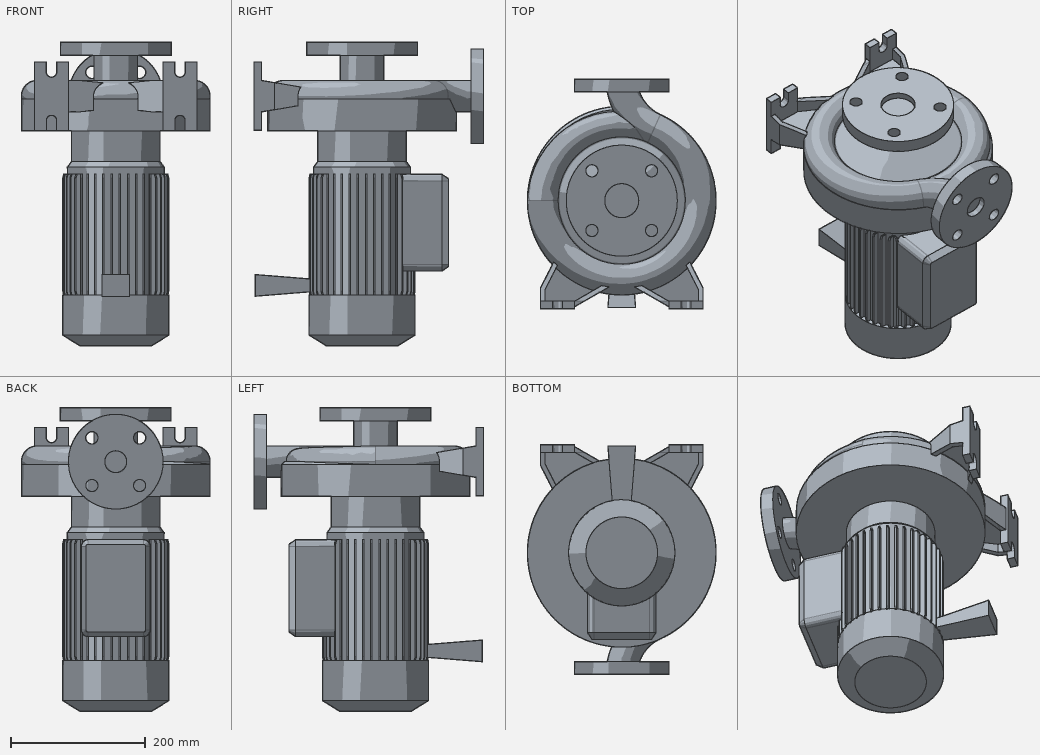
import cadquery as cq
import math


total_height = 450
volute_level = 370.0
casing_bottom = 318.5
casing_bevel = 4.5
neck_bottom = 273.0
collar_top = 264.5
fins_top = 254.2
cowl_top = 75.0
cowl_taper_height = 15.8

casing_radius = 140.0
neck_radius = 65.5
collar_radius = 72
cowl_radius = 78.8
cowl_end_radius = 53.0

tube_radius = 23.5
volute_radius = casing_radius - tube_radius
volute_inner_radius = volute_radius - tube_radius
volute_end_tube_radius = 18.5
volute_sections = 7

suction_pipe_radius = 32.5
suction_flange_radius = 82.5
suction_flange_thickness = 20.0
suction_bore_radius = 25.0
suction_bolt_circle_radius = 62.5
cover_rim_level = 377.0
cover_peak_level = 387
discharge_reach = 180
discharge_flange_radius = 70.0
discharge_flange_thickness = 19.0
discharge_bore_radius = 16.0
discharge_bolt_circle_radius = 50.0
bolt_hole_diameter = 18
bolt_count = 4
first_bolt_angle = 45
bore_depth = 10.0

fin_pitch_angle = 9
fins_per_half_quarter = 5
fin_thickness = 2.2
fin_bevel_height = 6.0
fin_bevel_depth = 1.5

box_half_width = 51.0
box_bottom = 110.5
box_top = fins_top
box_inner_y = 58.5
box_outer_y = 128.2
box_corner_radius = 10.0
box_bevel_depth = 10.0
box_bevel_inset = 6.8

prop_level = 89.5
prop_tip_y = -158.5
prop_tip_width = 41.5
prop_tip_height = 32.5
prop_root_y = -63
prop_taper = 0.16

foot_face_y = -160.0
foot_plate_thickness = 11.2
foot_plate_inner_x = 69.8
foot_plate_outer_x = 120.5
foot_plate_height = 101.5
slot_width = 15.5
slot_depth = 22.5
web_thickness = 7.0
web_bend_y = -129.5
inner_web_angle = 30
inner_web_length = 60.8
outer_web_angle = 63
outer_web_length = 63
web_end_height = 47.0
web_taper = 0.34
foot_floor_thickness = 6.8


def revolve_profile(points):
    """Solid turned about Z from (radius, level) points."""
    return cq.Workplane("XZ").polyline(points).close().revolve(360, (0, 0, 0), (0, 1, 0))


def make_turned_body():
    """Motor cowl, motor core, collar, neck, casing and the shallow cone of the casing cover."""
    profile = [
        (0, 0),
        (cowl_end_radius, 0),
        (cowl_radius, cowl_taper_height),
        (cowl_radius, cowl_top),
        (collar_radius, cowl_top),
        (collar_radius, collar_top),
        (neck_radius, neck_bottom),
        (neck_radius, casing_bottom),
        (casing_radius, casing_bottom),
        (casing_radius, volute_level - casing_bevel),
        (casing_radius - casing_bevel, volute_level),
        (volute_radius, volute_level),
        (volute_radius, cover_rim_level),
        (volute_inner_radius, cover_rim_level),
        (suction_pipe_radius, cover_peak_level),
        (0, cover_peak_level),
    ]
    return revolve_profile(profile)


def make_fins():
    """Ten parallel fins on each quarter, spaced evenly round the motor, with bevelled end corners."""
    end_radius = cowl_radius - fin_bevel_depth
    envelope_profile = [
        (0, cowl_top),
        (end_radius, cowl_top),
        (cowl_radius, cowl_top + fin_bevel_height),
        (cowl_radius, fins_top - fin_bevel_height),
        (end_radius, fins_top),
        (0, fins_top),
    ]
    fins = cq.Workplane("XY")
    for step in range(fins_per_half_quarter):
        offset = cowl_radius * math.sin(math.radians((step + 0.5) * fin_pitch_angle))
        pair = (
            cq.Workplane("XY")
            .workplane(offset=cowl_top)
            .pushPoints([(-offset, 0), (offset, 0)])
            .rect(fin_thickness, 2 * cowl_radius)
            .extrude(fins_top - cowl_top)
        )
        fins = fins.add(pair).add(pair.rotate((0, 0, 0), (0, 0, 1), 90))
    return fins.combine().intersect(revolve_profile(envelope_profile))


def make_port(plane, pipe, radius, thickness, bolt_circle_radius, bore_radius):
    """Pipe joined to a flange behind the face plane, with through bolt holes and a shallow bore."""
    face = cq.Workplane(plane)
    holes = (
        face.polarArray(bolt_circle_radius, first_bolt_angle, 360, bolt_count)
        .circle(bolt_hole_diameter / 2)
        .extrude(-thickness)
    )
    flange = face.circle(radius).extrude(-thickness).cut(holes)
    bore = face.circle(bore_radius).extrude(-bore_depth)
    return flange.union(pipe).cut(bore)


def make_volute(elbow_angle):
    """Full-size tube from the elbow clockwise to -X, then a tube that shrinks towards the elbow."""
    start = cq.Plane(
        origin=(-volute_radius, 0, volute_level), xDir=(1, 0, 0), normal=(0, -1, 0)
    )
    full_tube = (
        cq.Workplane(start)
        .circle(tube_radius)
        .revolve(180 + elbow_angle, (volute_radius, 0, 0), (volute_radius, 1, 0))
    )
    sections = []
    for step in range(volute_sections):
        fraction = step / (volute_sections - 1)
        angle = math.radians(180 + fraction * (elbow_angle - 180))
        radius = tube_radius + fraction * (volute_end_tube_radius - tube_radius)
        centre_radius = volute_inner_radius + radius
        centre = cq.Vector(
            centre_radius * math.cos(angle), centre_radius * math.sin(angle), volute_level
        )
        tangent = cq.Vector(math.sin(angle), -math.cos(angle), 0)
        sections.append(cq.Wire.makeCircle(radius, centre, tangent))
    shrinking_tube = cq.Solid.makeLoft(sections)
    return full_tube.union(cq.Workplane(shrinking_tube))


def make_discharge_elbow(bend_radius, elbow_angle):
    """Elbow tangent to the volute circle that turns to leave along +Y."""
    face = cq.Plane(
        origin=(0, discharge_reach, volute_level), xDir=(1, 0, 0), normal=(0, -1, 0)
    )
    return (
        cq.Workplane(face)
        .circle(tube_radius)
        .revolve(elbow_angle, (bend_radius, 0, 0), (bend_radius, 1, 0))
    )


def make_terminal_box():
    return (
        cq.Workplane("XY")
        .box(2 * box_half_width, box_outer_y - box_inner_y, box_top - box_bottom)
        .translate((0, (box_outer_y + box_inner_y) / 2, (box_top + box_bottom) / 2))
        .edges("|Y")
        .fillet(box_corner_radius)
        .faces(">Y")
        .chamfer(box_bevel_inset, box_bevel_depth)
    )


def make_prop():
    """Tapered prop that widens from the motor to a flat tip."""
    length = prop_root_y - prop_tip_y
    tip = cq.Plane(origin=(0, prop_tip_y, prop_level), xDir=(1, 0, 0), normal=(0, 1, 0))
    shrink = prop_taper * length
    return (
        cq.Workplane(tip)
        .rect(prop_tip_width, prop_tip_height)
        .workplane(offset=length)
        .rect(prop_tip_width - shrink, prop_tip_height - shrink)
        .loft(ruled=True)
    )


def polar_step(point, length, angle):
    return (
        point[0] + length * math.cos(math.radians(angle)),
        point[1] + length * math.sin(math.radians(angle)),
    )


def make_foot():
    """Foot on the +X side: slotted plate, two tapered webs and a floor between them."""
    plate_back_y = foot_face_y + foot_plate_thickness
    plate_width = foot_plate_outer_x - foot_plate_inner_x
    plate_x = (foot_plate_outer_x + foot_plate_inner_x) / 2
    face = cq.Plane(
        origin=(plate_x, foot_face_y, volute_level), xDir=(1, 0, 0), normal=(0, -1, 0)
    )
    plate = cq.Workplane(face).rect(plate_width, foot_plate_height).extrude(-foot_plate_thickness)
    slots = (
        cq.Workplane(face)
        .pushPoints([(0, -foot_plate_height / 2), (0, foot_plate_height / 2)])
        .slot2D(2 * slot_depth, slot_width, 90)
        .extrude(-foot_plate_thickness)
    )

    inner_start = (foot_plate_inner_x, plate_back_y)
    inner_end = polar_step(inner_start, inner_web_length, 180 - inner_web_angle)
    inner_web = [
        inner_start,
        inner_end,
        polar_step(inner_end, web_thickness, 270 - inner_web_angle),
        (foot_plate_inner_x, plate_back_y - web_thickness / math.cos(math.radians(inner_web_angle))),
    ]
    outer_bend = (foot_plate_outer_x, web_bend_y)
    outer_end = polar_step(outer_bend, outer_web_length, 180 - outer_web_angle)
    outer_end_inside = polar_step(outer_end, web_thickness, 270 - outer_web_angle)
    bend_shift = web_thickness * math.tan(math.radians((90 - outer_web_angle) / 2))
    outer_bend_inside = (foot_plate_outer_x - web_thickness, web_bend_y - bend_shift)
    outer_web = [
        (foot_plate_outer_x, plate_back_y),
        outer_bend,
        outer_end,
        outer_end_inside,
        outer_bend_inside,
        (foot_plate_outer_x - web_thickness, plate_back_y),
    ]
    webs = cq.Workplane("XY").workplane(offset=volute_level - web_end_height / 2)
    webs = webs.polyline(inner_web).close().polyline(outer_web).close().extrude(web_end_height)

    low_height = web_end_height + web_taper * plate_back_y
    taper = (
        cq.Workplane("YZ")
        .polyline([
            (foot_face_y, volute_level - web_end_height / 2),
            (plate_back_y, volute_level - web_end_height / 2),
            (0, volute_level - low_height / 2),
            (0, volute_level + low_height / 2),
            (plate_back_y, volute_level + web_end_height / 2),
            (foot_face_y, volute_level + web_end_height / 2),
        ])
        .close()
        .extrude(foot_plate_outer_x)
    )
    floor_outline = [inner_start, inner_end, outer_end, outer_bend, (foot_plate_outer_x, plate_back_y)]
    floor = (
        cq.Workplane("XY")
        .workplane(offset=volute_level - foot_floor_thickness / 2)
        .polyline(floor_outline)
        .close()
        .extrude(foot_floor_thickness)
    )
    return plate.cut(slots).union(webs.intersect(taper)).union(floor)


bend_radius = (discharge_reach**2 - volute_radius**2) / (2 * volute_radius)
elbow_angle = math.degrees(math.atan2(discharge_reach, bend_radius))

suction_face = cq.Plane(origin=(0, 0, total_height), xDir=(1, 0, 0), normal=(0, 0, 1))
suction_pipe = cq.Workplane(suction_face).circle(suction_pipe_radius).extrude(volute_level - total_height)
suction_port = make_port(
    suction_face,
    suction_pipe,
    suction_flange_radius,
    suction_flange_thickness,
    suction_bolt_circle_radius,
    suction_bore_radius,
)
discharge_face = cq.Plane(
    origin=(0, discharge_reach, volute_level), xDir=(-1, 0, 0), normal=(0, 1, 0)
)
discharge_port = make_port(
    discharge_face,
    make_discharge_elbow(bend_radius, elbow_angle),
    discharge_flange_radius,
    discharge_flange_thickness,
    discharge_bolt_circle_radius,
    discharge_bore_radius,
)
foot = make_foot()

result = (
    make_turned_body()
    .union(make_fins())
    .union(make_volute(elbow_angle))
    .union(suction_port)
    .union(discharge_port)
    .union(make_terminal_box())
    .union(make_prop())
    .union(foot)
    .union(foot.mirror("YZ"))
)